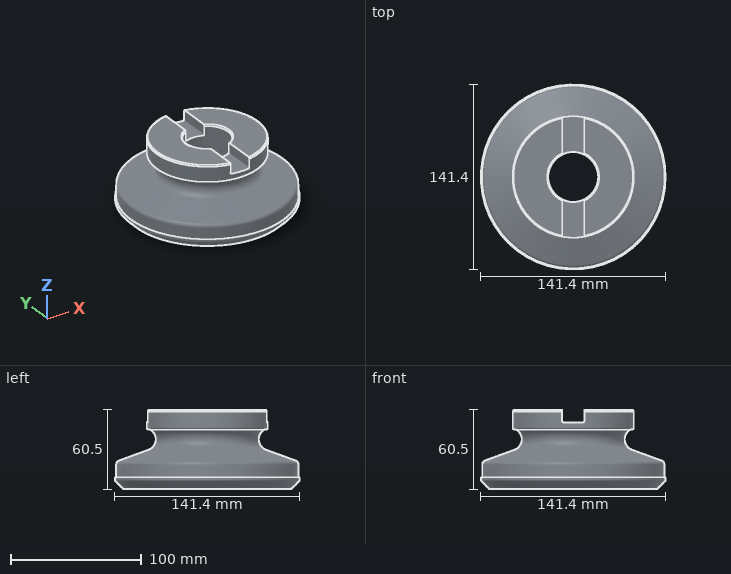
import cadquery as cq
import math

height = 60.5
bore_radius = 38.0 / 2
bore_chamfer_width = 0.8
bore_chamfer_height = 1.4

flange_radius = 92.8 / 2
flange_underside_z = 45.4
flange_bottom_fillet = 1.7
flange_chamfer_width = 0.7
flange_chamfer_height = 1.3

neck_radius = 39.5
neck_z = 38.0
cove_radius = 8.5
shoulder_angle = math.radians(20)

body_radius = 139.5 / 2
shoulder_fillet = 3.5
rim_radius = 70.7
rim_top_z = 9.0
rim_bottom_z = 6.1
rim_fillet = 0.8

taper_middle_radius = 67.5
taper_middle_z = 3.1
base_radius = 64.2

slot_width = 17.0
slot_floor_z = 51.0
slot_fillet = 1.1


def point_on_arc(center, radius, angle):
    """Point at an angle measured from the outward radial direction."""
    return (center[0] + radius * math.cos(angle), center[1] + radius * math.sin(angle))


def make_turned_body():
    """Revolve the half section, bore included, about the Z axis."""
    cove_center = (neck_radius + cove_radius, neck_z)
    cove_rise = flange_underside_z - neck_z
    cove_top_radius = cove_center[0] - math.sqrt(cove_radius**2 - cove_rise**2)
    cove_bottom = point_on_arc(cove_center, cove_radius, -math.pi / 2 - shoulder_angle)

    shoulder_normal = math.pi / 2 - shoulder_angle
    fillet_center_radius = body_radius - shoulder_fillet
    fillet_start_radius = fillet_center_radius + shoulder_fillet * math.cos(shoulder_normal)
    shoulder_drop = (fillet_start_radius - cove_bottom[0]) * math.tan(shoulder_angle)
    fillet_start = (fillet_start_radius, cove_bottom[1] - shoulder_drop)
    fillet_center_z = fillet_start[1] - shoulder_fillet * math.sin(shoulder_normal)
    fillet_center = (fillet_center_radius, fillet_center_z)
    fillet_middle = point_on_arc(fillet_center, shoulder_fillet, shoulder_normal / 2)

    flange_fillet_center = (
        flange_radius - flange_bottom_fillet,
        flange_underside_z + flange_bottom_fillet,
    )
    flange_fillet_middle = point_on_arc(flange_fillet_center, flange_bottom_fillet, -math.pi / 4)
    rim_fillet_center_radius = rim_radius - rim_fillet
    rim_upper_center = (rim_fillet_center_radius, rim_top_z - rim_fillet)
    rim_lower_center = (rim_fillet_center_radius, rim_bottom_z + rim_fillet)

    section = (
        cq.Workplane("XZ")
        .moveTo(bore_radius, 0)
        .lineTo(bore_radius, height - bore_chamfer_height)
        .lineTo(bore_radius + bore_chamfer_width, height)
        .lineTo(flange_radius - flange_chamfer_width, height)
        .lineTo(flange_radius, height - flange_chamfer_height)
        .lineTo(flange_radius, flange_fillet_center[1])
        .threePointArc(flange_fillet_middle, (flange_fillet_center[0], flange_underside_z))
        .lineTo(cove_top_radius, flange_underside_z)
        .threePointArc((neck_radius, neck_z), cove_bottom)
        .lineTo(*fillet_start)
        .threePointArc(fillet_middle, (body_radius, fillet_center_z))
        .lineTo(body_radius, rim_top_z)
        .lineTo(rim_fillet_center_radius, rim_top_z)
        .threePointArc(
            point_on_arc(rim_upper_center, rim_fillet, math.pi / 4),
            (rim_radius, rim_upper_center[1]),
        )
        .lineTo(rim_radius, rim_lower_center[1])
        .threePointArc(
            point_on_arc(rim_lower_center, rim_fillet, -math.pi / 8),
            point_on_arc(rim_lower_center, rim_fillet, -math.pi / 4),
        )
        .lineTo(taper_middle_radius, taper_middle_z)
        .lineTo(base_radius, 0)
        .close()
    )
    return section.revolve(360, (0, 0, 0), (0, 1, 0))


def make_slot_cutter():
    """Block that cuts the slot, with both floor corners rounded."""
    return (
        cq.Workplane("XY", origin=(0, 0, slot_floor_z))
        .rect(slot_width, 2 * rim_radius)
        .extrude(height - slot_floor_z)
        .edges("|Y and <Z")
        .fillet(slot_fillet)
    )


result = make_turned_body().cut(make_slot_cutter())